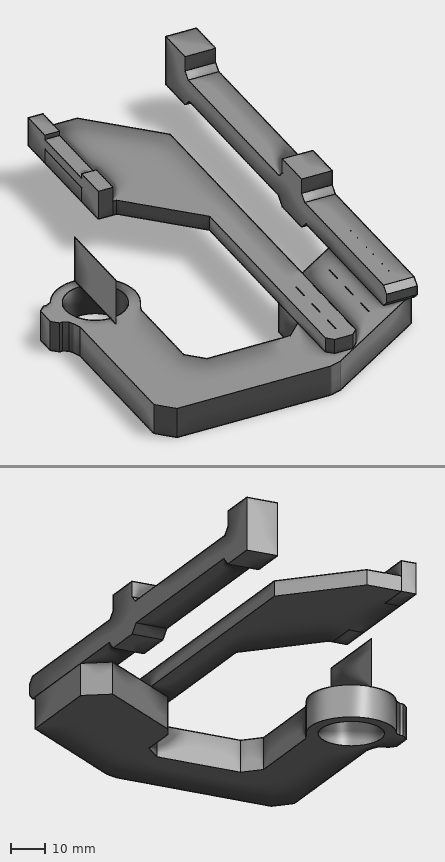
import cadquery as cq
import math


bracket_thickness = 10.0
arm_width = 20.0
bar_width = 10.0
bracket_right = 61.65
bar_left = -98.89
bracket_back = 83.6

ring_radius = 13.1
bore_radius = 9.6
arm_half_width = arm_width / 2
blend_angle = math.radians(57)
blend_end_x = 9.8
ring_exit_x = ring_radius * math.cos(blend_angle)
ring_exit_y = ring_radius * math.sin(blend_angle)

lug_half_width = 5.1
lug_front = -16.3
lug_chamfer = 2.0
lug_root_y = -13.3
lug_root_angle = math.radians(-62.5)

bracket_chamfer = 5.0
upright_inner_x = bracket_right - arm_width
shoulder_y = 47.2
slope_run = 0.653
slope_inner_x = 22.0
slope_width = 39.6
corner_chamfer = 2.4
outer_corner_chamfer = 2.0
tip_chamfer_height = 7.8

bar_height = 7.0
bar_top = bracket_thickness + bar_height
bar_front = bracket_back - bar_width
bar_right = 41.6
bar_end_chamfer = 2.0
head_length = 12.3
head_count = 2
head_pitch = 74.1
head_bottom = 7.4
head_top = 23.9
head_top_chamfer = 2.0

paddle_thickness = 4.8
paddle_left = -84.1
paddle_right = 56.1
paddle_end_chamfer = 2.0
paddle_back = shoulder_y + bar_width
paddle_slope = 20.0

pad_width = 44.6
pad_depth = 4.8
pad_front = 21.2
pad_height = 9.6
pad_saddle_height = 8.1
pad_bump_length = 10.6

blade_height = 15.0
blade_thickness = 0.1

mark_pitch = 10.0
marks_per_row = 3
mark_width = 0.1
mark_depth = 0.1
score_length = 5.0
prick_spacing = 4.2
bar_mark_y = bracket_back - bar_width / 2
paddle_mark_y = shoulder_y + bar_width / 2
bracket_mark_ys = (68.4, 60.4)
paddle_mark_x = 28.4


def row_centres(row_y):
    """Centres of the marks in one row; the rows shift in X with the bracket's slope."""
    first_x = paddle_mark_x - (row_y - paddle_mark_y) * slope_run
    return [(first_x + i * mark_pitch, row_y) for i in range(marks_per_row)]


def scores(row_y, top):
    """Cutter for one row of fine score lines along X in a top face."""
    return (
        cq.Workplane("XY", origin=(0, 0, top - mark_depth))
        .pushPoints(row_centres(row_y))
        .rect(score_length, mark_width)
        .extrude(mark_depth)
    )


def inner_slope_x(y):
    return slope_inner_x - (y - shoulder_y) * slope_run


def outer_slope_x(y):
    return inner_slope_x(y) + slope_width


def make_bracket():
    slope_length = math.hypot(1, slope_run)
    cut_y = corner_chamfer / slope_length
    outer_corner_y = shoulder_y + (outer_slope_x(shoulder_y) - bracket_right) / slope_run
    outer_cut_y = outer_corner_y + outer_corner_chamfer / slope_length
    tip_y = bracket_back - tip_chamfer_height
    tip_x = inner_slope_x(tip_y)
    lug_root = (
        ring_radius * math.cos(lug_root_angle),
        ring_radius * math.sin(lug_root_angle),
    )
    lug_tip_half_width = lug_half_width - lug_chamfer
    outline = (
        cq.Workplane("XY")
        .moveTo(ring_exit_x, ring_exit_y)
        .lineTo(blend_end_x, arm_half_width)
        .lineTo(upright_inner_x - bracket_chamfer, arm_half_width)
        .lineTo(upright_inner_x, arm_half_width + bracket_chamfer)
        .lineTo(upright_inner_x, shoulder_y - bracket_chamfer)
        .lineTo(upright_inner_x - bracket_chamfer, shoulder_y)
        .lineTo(slope_inner_x + corner_chamfer, shoulder_y)
        .lineTo(inner_slope_x(shoulder_y + cut_y), shoulder_y + cut_y)
        .lineTo(tip_x, tip_y)
        .lineTo(tip_x + tip_chamfer_height * slope_run, bracket_back)
        .lineTo(outer_slope_x(bracket_back), bracket_back)
        .lineTo(outer_slope_x(outer_cut_y), outer_cut_y)
        .lineTo(bracket_right, outer_corner_y - outer_corner_chamfer)
        .lineTo(bracket_right, bracket_chamfer - arm_half_width)
        .lineTo(bracket_right - bracket_chamfer, -arm_half_width)
        .lineTo(blend_end_x, -arm_half_width)
        .lineTo(ring_exit_x, -ring_exit_y)
        .radiusArc(lug_root, ring_radius)
        .lineTo(lug_half_width, lug_root_y)
        .lineTo(lug_half_width, lug_front + lug_chamfer)
        .lineTo(lug_tip_half_width, lug_front)
        .lineTo(-lug_tip_half_width, lug_front)
        .lineTo(-lug_half_width, lug_front + lug_chamfer)
        .lineTo(-lug_half_width, lug_root_y)
        .lineTo(-lug_root[0], lug_root[1])
        .threePointArc((-ring_radius, 0), (ring_exit_x, ring_exit_y))
        .close()
    )
    bracket = outline.extrude(bracket_thickness)
    bore = cq.Workplane("XY").circle(bore_radius).extrude(bracket_thickness)
    bracket = bracket.cut(bore)
    for row_y in bracket_mark_ys:
        bracket = bracket.cut(scores(row_y, bracket_thickness))
    return bracket


def make_head(left):
    """Block standing proud of the bar above and below, with sloped roots on both sides."""
    right = left + head_length
    bottom_root = bracket_thickness - head_bottom
    return (
        cq.Workplane("XZ", origin=(0, bracket_back, 0))
        .moveTo(left, head_top)
        .lineTo(right, head_top)
        .lineTo(right, bar_top + head_top_chamfer)
        .lineTo(right + head_top_chamfer, bar_top)
        .lineTo(right + bottom_root, bracket_thickness)
        .lineTo(right, head_bottom)
        .lineTo(left, head_bottom)
        .lineTo(left - bottom_root, bracket_thickness)
        .lineTo(left - head_top_chamfer, bar_top)
        .lineTo(left, bar_top + head_top_chamfer)
        .close()
        .extrude(bar_width)
    )


def make_bar():
    bar_length = bar_right - bar_left
    bar = (
        cq.Workplane("XY")
        .box(bar_length, bar_width, bar_height, centered=False)
        .translate((bar_left, bar_front, bracket_thickness))
        .edges("|Y and >X")
        .chamfer(bar_end_chamfer)
    )
    for i in range(head_count):
        bar = bar.union(make_head(bar_left + i * head_pitch))
    overhang = cq.Workplane("XY").box(head_length, bar_width, head_top, centered=False)
    bar = bar.cut(overhang.translate((bar_left - head_length, bar_front, 0)))
    prick_points = [
        (x + side * prick_spacing / 2, y)
        for x, y in row_centres(bar_mark_y)
        for side in (-1, 1)
    ]
    pricks = (
        cq.Workplane("XY", origin=(0, 0, bar_top - mark_depth))
        .pushPoints(prick_points)
        .circle(mark_width / 2)
        .extrude(mark_depth)
    )
    return bar.cut(pricks)


def make_paddle():
    pad_back = pad_front + pad_depth
    pad_right = paddle_left + pad_width
    tongue_left = paddle_left + pad_bump_length
    tongue_right = pad_right - pad_bump_length
    bend_x = pad_right + paddle_slope
    plate = (
        cq.Workplane("XY", origin=(0, 0, bracket_thickness))
        .moveTo(paddle_left, pad_back)
        .lineTo(tongue_left, pad_back)
        .lineTo(tongue_left, pad_front)
        .lineTo(tongue_right, pad_front)
        .lineTo(tongue_right, pad_back)
        .lineTo(pad_right, pad_back)
        .lineTo(pad_right, shoulder_y - paddle_slope)
        .lineTo(bend_x, shoulder_y)
        .lineTo(paddle_right - paddle_end_chamfer, shoulder_y)
        .lineTo(paddle_right, shoulder_y + paddle_end_chamfer)
        .lineTo(paddle_right, paddle_back - paddle_end_chamfer)
        .lineTo(paddle_right - paddle_end_chamfer, paddle_back)
        .lineTo(paddle_left + paddle_slope, paddle_back)
        .lineTo(paddle_left, paddle_back - paddle_slope)
        .close()
        .extrude(paddle_thickness)
    )
    return plate.cut(scores(paddle_mark_y, bracket_thickness + paddle_thickness))


def make_pad():
    """Saddle over the paddle's tongue, with a raised bump and a foot at each end."""
    saddle_length = pad_width - 2 * pad_bump_length
    return (
        cq.Workplane("XZ", origin=(paddle_left, pad_front + pad_depth, bracket_thickness))
        .hLine(pad_bump_length)
        .vLine(paddle_thickness)
        .hLine(saddle_length)
        .vLine(-paddle_thickness)
        .hLine(pad_bump_length)
        .vLine(pad_height)
        .hLine(-pad_bump_length)
        .vLine(pad_saddle_height - pad_height)
        .hLine(-saddle_length)
        .vLine(pad_height - pad_saddle_height)
        .hLine(-pad_bump_length)
        .close()
        .extrude(pad_depth)
    )


def make_blade():
    return (
        cq.Workplane("XY", origin=(0, 0, bracket_thickness))
        .rect(2 * ring_radius, blade_thickness)
        .extrude(blade_height)
    )


bracket = make_bracket()
bar = make_bar()
paddle = make_paddle()
pad = make_pad()
blade = make_blade()

result = cq.Compound.makeCompound([bracket.val(), bar.val(), paddle.val(), pad.val(), blade.val()])